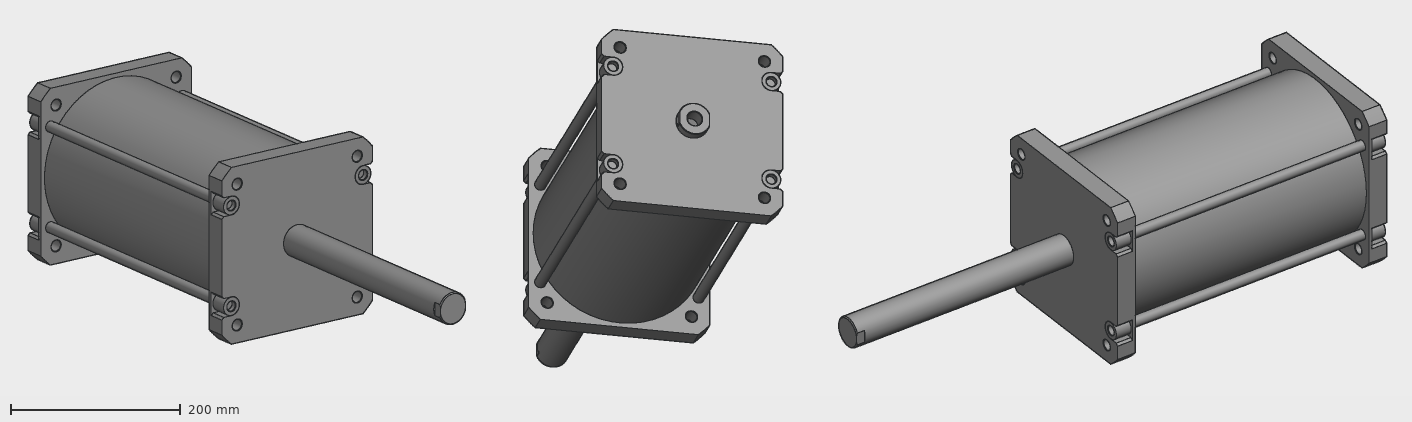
import cadquery as cq
import math

TOTAL_LENGTH = 711.5
REAR_STUB = 12.0
PLATE_THICKNESS = 25.5
COVERS_LENGTH = 388.0

REAR_FACE = REAR_STUB
FRONT_FACE = REAR_FACE + COVERS_LENGTH
TUBE_LENGTH = COVERS_LENGTH - 2 * PLATE_THICKNESS

PLATE_SIDE = 220.0
CORNER_RADIUS = 146.0
MOUNT_HOLE_DIAMETER = 13.5
MOUNT_HOLE_OFFSET = 87.5

TIE_Y = 96.0
TIE_Z = 62.5
TIE_DIAMETER = 13.5
HEAD_DIAMETER = 23.0
SOCKET_DIAMETER = 12.0
SOCKET_DEPTH = 7.0
SLOT_WIDTH = 23.5
SLOT_CHAMFER = 3.0
SLOT_DEPTH = 21.0

TUBE_DIAMETER = 209.0
TUBE_WALL = 5.0

ROD_DIAMETER = 40.0
FLAT_WIDTH = 36.0
FLAT_LENGTH_REAR = 9.0
FLAT_LENGTH_FRONT = 11.5
REAR_CHAMFER = 1.0
FRONT_CHAMFER = 1.5
CENTER_HOLE_DIAMETER = 18.0
CENTER_HOLE_DEPTH = 21.0
DRILL_TIP_ANGLE = 118.0

HOLE_CHAMFER = 1.0


def along_x(x):
    """Workplane at the given X, facing +X, with local axes Y and Z."""
    return cq.Workplane("YZ", origin=(x, 0, 0))


def square_points(y, z):
    """The four (Y, Z) corners of a rectangle centred on the X axis."""
    return [(sy * y, sz * z) for sy in (-1, 1) for sz in (-1, 1)]


TIE_POINTS = square_points(TIE_Y, TIE_Z)


def chamfered_hole(x_start, length, diameter, points, mouths):
    """Cutters along X for round holes, flared at the given ends ("start", "end")."""
    radius = diameter / 2
    cutter = along_x(x_start).pushPoints(points).circle(radius).extrude(length)
    for y, z in points:
        if "start" in mouths:
            cutter = cutter.union(flare(x_start, 1, radius, y, z))
        if "end" in mouths:
            cutter = cutter.union(flare(x_start + length, -1, radius, y, z))
    return cutter


def flare(x, direction, radius, y, z):
    """Chamfer cone with its wide end at x, narrowing towards the given X direction."""
    cone = cq.Solid.makeCone(
        radius + HOLE_CHAMFER, radius, HOLE_CHAMFER, cq.Vector(x, y, z), cq.Vector(direction, 0, 0)
    )
    return cq.Workplane(cone)


def make_cover(x_start, slot_start):
    """Square end cover; the head slots fill SLOT_DEPTH from slot_start."""
    cover = along_x(x_start).rect(PLATE_SIDE, PLATE_SIDE).extrude(PLATE_THICKNESS)
    cover = cover.intersect(along_x(x_start).circle(CORNER_RADIUS).extrude(PLATE_THICKNESS))
    mount_points = square_points(MOUNT_HOLE_OFFSET, MOUNT_HOLE_OFFSET)
    cover = cover.cut(
        chamfered_hole(x_start, PLATE_THICKNESS, MOUNT_HOLE_DIAMETER, mount_points, ("start", "end"))
    )
    cover = cover.cut(along_x(x_start).circle(ROD_DIAMETER / 2).extrude(PLATE_THICKNESS))
    tie_bores = along_x(x_start).pushPoints(TIE_POINTS).circle(TIE_DIAMETER / 2)
    cover = cover.cut(tie_bores.extrude(PLATE_THICKNESS))

    slot_ends = along_x(slot_start).pushPoints(TIE_POINTS).circle(SLOT_WIDTH / 2)
    cover = cover.cut(slot_ends.extrude(SLOT_DEPTH))
    for side in (-1, 1):
        for z in (-TIE_Z, TIE_Z):
            cover = cover.cut(slot_mouth(slot_start, side, z))
    return cover


def slot_mouth(x_start, side, z):
    """Open part of a head slot, from the tie rod out to the side face."""
    half_width = SLOT_WIDTH / 2
    wide_half = half_width + SLOT_CHAMFER
    face_y = side * PLATE_SIDE / 2
    flare_y = face_y - side * SLOT_CHAMFER
    inner_y = side * TIE_Y
    outline = [
        (inner_y, z - half_width),
        (flare_y, z - half_width),
        (face_y, z - wide_half),
        (face_y, z + wide_half),
        (flare_y, z + half_width),
        (inner_y, z + half_width),
    ]
    return along_x(x_start).polyline(outline).close().extrude(SLOT_DEPTH)


def make_tube():
    """Barrel between the inner faces of the two covers."""
    inner_radius = TUBE_DIAMETER / 2 - TUBE_WALL
    tube = along_x(REAR_FACE + PLATE_THICKNESS).circle(TUBE_DIAMETER / 2).circle(inner_radius)
    return tube.extrude(TUBE_LENGTH)


def make_tie_rod(y, z):
    """Tie rod with a round socket head at both ends, flush with the covers."""
    tie_rod = along_x(REAR_FACE).center(y, z).circle(TIE_DIAMETER / 2).extrude(COVERS_LENGTH)
    for head_start in (REAR_FACE, FRONT_FACE - SLOT_DEPTH):
        head = along_x(head_start).center(y, z).circle(HEAD_DIAMETER / 2).extrude(SLOT_DEPTH)
        tie_rod = tie_rod.union(head)
    for socket_start, mouth in ((REAR_FACE, "start"), (FRONT_FACE - SOCKET_DEPTH, "end")):
        socket = chamfered_hole(socket_start, SOCKET_DEPTH, SOCKET_DIAMETER, [(y, z)], (mouth,))
        tie_rod = tie_rod.cut(socket)
    return tie_rod


def make_piston_rod():
    """Through rod with wrench flats at both ends and a drilled rear end."""
    rod = along_x(0).circle(ROD_DIAMETER / 2).extrude(TOTAL_LENGTH)
    rod = rod.faces(">X").chamfer(FRONT_CHAMFER)
    rod = rod.faces("<X").chamfer(REAR_CHAMFER)

    flat_cut = (ROD_DIAMETER - FLAT_WIDTH) / 2
    flat_y = FLAT_WIDTH / 2 + flat_cut / 2
    front_flats_start = TOTAL_LENGTH - FLAT_LENGTH_FRONT
    for start, length in ((0, FLAT_LENGTH_REAR), (front_flats_start, FLAT_LENGTH_FRONT)):
        flats = along_x(start).pushPoints([(-flat_y, 0), (flat_y, 0)])
        rod = rod.cut(flats.rect(flat_cut, ROD_DIAMETER).extrude(length))

    bore = chamfered_hole(0, CENTER_HOLE_DEPTH, CENTER_HOLE_DIAMETER, [(0, 0)], ("start",))
    hole_radius = CENTER_HOLE_DIAMETER / 2
    tip_length = hole_radius / math.tan(math.radians(DRILL_TIP_ANGLE / 2))
    drill_tip = cq.Solid.makeCone(
        hole_radius, 0, tip_length, cq.Vector(CENTER_HOLE_DEPTH, 0, 0), cq.Vector(1, 0, 0)
    )
    return rod.cut(bore).cut(cq.Workplane(drill_tip))


rear_cover = make_cover(REAR_FACE, REAR_FACE)
front_cover = make_cover(FRONT_FACE - PLATE_THICKNESS, FRONT_FACE - SLOT_DEPTH)
tube = make_tube()
tie_rods = [make_tie_rod(y, z) for y, z in TIE_POINTS]
piston_rod = make_piston_rod()

result = cq.Compound.makeCompound(
    [
        rear_cover.val(),
        front_cover.val(),
        tube.val(),
        *[tie_rod.val() for tie_rod in tie_rods],
        piston_rod.val(),
    ]
)